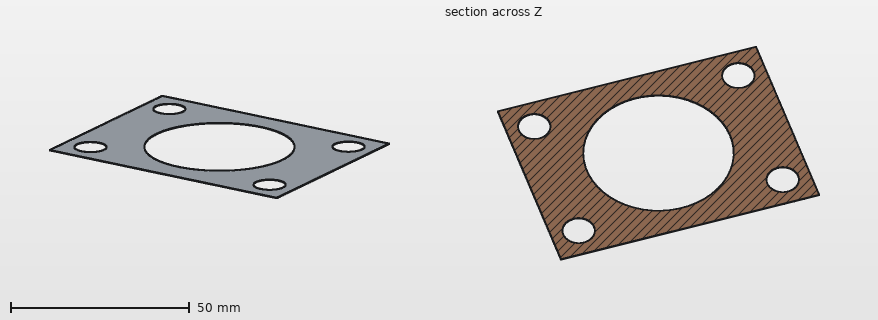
import cadquery as cq

length = 76.0
width = 57.0
thickness = 0.25
bore_diameter = 42.0
bolt_hole_diameter = 9.0
bolt_spacing_x = 60.0
bolt_spacing_y = 40.0


def make_sheet():
    return cq.Workplane("XY").rect(length, width).extrude(thickness)


def cut_bore(body):
    return body.faces(">Z").workplane().hole(bore_diameter)


def cut_bolt_holes(body):
    corners = body.faces(">Z").workplane().rect(bolt_spacing_x, bolt_spacing_y, forConstruction=True)
    return corners.vertices().hole(bolt_hole_diameter)


result = cut_bolt_holes(cut_bore(make_sheet()))